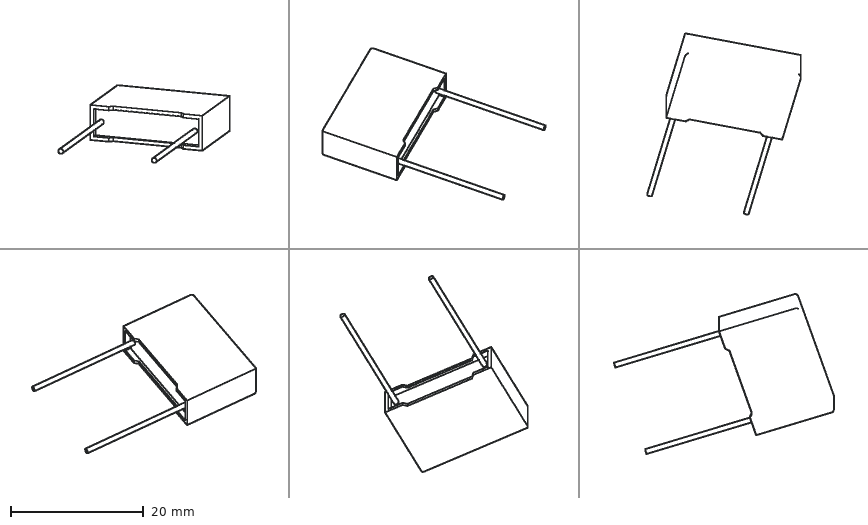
import cadquery as cq

case_width = 18.0
case_depth = 12.5
case_height = 5.5
wall = 0.6
back_edge_radius = 0.5

foot_width = 3.0
relief_depth = 0.5

fill_recess = 0.88

total_length = 29.5
lead_diameter = 0.8
lead_pitch = 15.0

lead_tip_y = case_depth - total_length
cavity_width = case_width - 2 * wall
cavity_height = case_height - 2 * wall


def cavity_block(front_y):
    """Block filling the case cavity from front_y to the back wall."""
    length = case_depth - wall - front_y
    return (
        cq.Workplane("XY")
        .box(cavity_width, length, cavity_height, centered=(True, False, True))
        .translate((0, front_y, 0))
    )


def rim_relief():
    """Trapezoid cutter that removes the middle of both long rim walls."""
    half_mouth = case_width / 2 - foot_width
    half_floor = half_mouth - relief_depth
    outline = [
        (-half_mouth, 0),
        (half_mouth, 0),
        (half_floor, relief_depth),
        (-half_floor, relief_depth),
    ]
    return cq.Workplane("XY").polyline(outline).close().extrude(case_height / 2, both=True)


def make_case():
    """Open-fronted shell with a rounded back and a relieved rim."""
    block = cq.Workplane("XY").box(case_width, case_depth, case_height, centered=(True, False, True))
    rounded = block.faces(">Y").edges().fillet(back_edge_radius)
    return rounded.cut(cavity_block(0)).cut(rim_relief())


def make_lead(x):
    """Straight round wire from its tip to the fill face."""
    length = fill_recess - lead_tip_y
    wire = cq.Workplane("XZ").circle(lead_diameter / 2).extrude(-length)
    return wire.translate((x, lead_tip_y, 0))


case = make_case()
fill = cavity_block(fill_recess)
leads = [make_lead(side * lead_pitch / 2) for side in (-1, 1)]

result = cq.Compound.makeCompound([case.val(), fill.val(), *[lead.val() for lead in leads]])